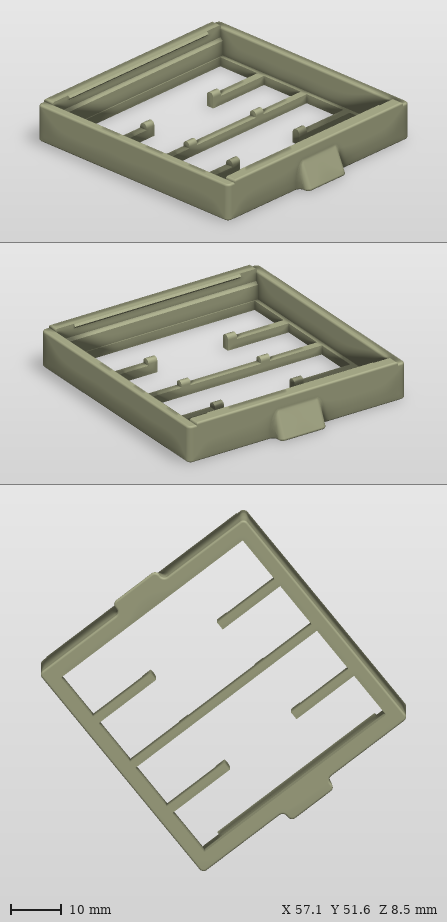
import cadquery as cq
import math

overall_x = 57.05
frame_x = 52.2
frame_y = 51.6
side_height = 8.5
rail_length = 47.85
end_height = 8.0
corner_radius = 1.0
edge_radius = 0.43

cavity_x = 47.3
cavity_y = 47.45
pocket_x = 46.1
window_size = 45.6
ledge_height = 5.2
shelf_height = 2.0

lip_length = 39.45
lip_top_reach = 0.2
lip_tip_reach = 0.6

finger_pitch = 11.75
finger_width = 1.75
bar_width = 1.65
finger_gap = 16.75
bump_length = 2.15
bump_top = 3.25

tab_height = 6.0
tab_width = 11.0
tab_radius = 1.0

wall_outer_x = frame_x / 2
wall_inner_x = cavity_x / 2
end_inner_y = cavity_y / 2


def centred_box(size_x, size_y, bottom, top):
    return cq.Workplane("XY").workplane(offset=bottom).rect(size_x, size_y).extrude(top - bottom)


def profile_along_y(points, length):
    """Extrude a closed X-Z outline along Y, centred on the X-Z plane."""
    start = cq.Workplane("XZ", origin=(0, length / 2, 0))
    return start.polyline(points).close().extrude(length)


def both_sides(shape):
    return shape.union(shape.mirror("YZ"))


def edge_at(x, y, z):
    return cq.selectors.NearestToPointSelector((x, y, z))


def sharp_tab_reach():
    """Reach of the tab's sharp toe, so that the rounded toe ends at the overall width."""
    centre_x = (overall_x - frame_x) / 2 - edge_radius
    drop = tab_height - edge_radius
    line_to_centre = math.atan2(drop, centre_x)
    slope_angle = line_to_centre - math.asin(edge_radius / math.hypot(centre_x, drop))
    return tab_height / math.tan(slope_angle)


def make_tab():
    """Wedge on the +X side wall with rounded flanks and a toe still sharp."""
    root = wall_outer_x - corner_radius
    toe = wall_outer_x + sharp_tab_reach()
    outline = [
        (root, 0),
        (toe, 0),
        (wall_outer_x, tab_height),
        (root, tab_height),
    ]
    tab = profile_along_y(outline, tab_width)
    slope_x = (toe + wall_outer_x) / 2
    flanks = [edge_at(slope_x, side * tab_width / 2, tab_height / 2) for side in (-1, 1)]
    return tab.edges(flanks[0] + flanks[1]).fillet(tab_radius)


def make_block():
    """Solid outer block with its tabs and rounded outer edges."""
    block = centred_box(frame_x, frame_y, 0, end_height).edges("|Z").fillet(corner_radius)
    block = both_sides(block.union(make_tab()))

    for wall_x in (-wall_outer_x, wall_outer_x):
        block = block.edges(edge_at(wall_x, 0, tab_height)).fillet(tab_radius)
    return block.faces(">Z or <Z").edges().fillet(edge_radius)


def make_rails():
    """Raised rails along both side walls, rounded on the outside and at the ends."""
    rail_width = wall_outer_x - wall_inner_x
    rail = (
        centred_box(rail_width, rail_length, ledge_height, side_height)
        .translate(((wall_outer_x + wall_inner_x) / 2, 0, 0))
        .edges(">Z and (>X or |X)")
        .fillet(edge_radius)
    )
    return both_sides(rail)


def make_lips():
    """Snap lips that lean inward from the top of each side wall."""
    top_x = wall_inner_x - lip_top_reach
    tip_x = wall_inner_x - lip_tip_reach
    tip_z = side_height - (top_x - tip_x)
    outline = [
        (wall_inner_x + edge_radius, side_height),
        (top_x, side_height),
        (tip_x, tip_z),
        (wall_inner_x, tip_z - lip_tip_reach),
        (wall_inner_x + edge_radius, tip_z - lip_tip_reach),
    ]
    return both_sides(profile_along_y(outline, lip_length))


def make_opening():
    """Everything removed from inside the frame: window, pocket and upper cavity."""
    window = centred_box(window_size, window_size, 0, side_height)
    pocket = centred_box(pocket_x, cavity_y, shelf_height, side_height)
    ledge_slope = (cavity_x - pocket_x) / 2
    ledge_top = ledge_height + ledge_slope
    outline = [
        (-pocket_x / 2, ledge_height),
        (pocket_x / 2, ledge_height),
        (wall_inner_x, ledge_top),
        (wall_inner_x, side_height),
        (-wall_inner_x, side_height),
        (-wall_inner_x, ledge_top),
    ]
    cavity = profile_along_y(outline, cavity_y)
    return window.union(pocket).union(cavity)


def make_end_rounding():
    """Material removed to round the inner top edges of both end walls."""
    cutter = (
        cq.Workplane("YZ", origin=(-wall_outer_x, 0, 0))
        .moveTo(end_inner_y, end_height)
        .lineTo(end_inner_y + edge_radius, end_height)
        .radiusArc((end_inner_y, end_height - edge_radius), -edge_radius)
        .close()
        .extrude(frame_x)
    )
    return cutter.union(cutter.mirror("XZ"))


def make_bar(centre_x, width, inner_y):
    """Bar from the +Y end wall, through the shelf, to inner_y."""
    bar = centred_box(width, end_inner_y - inner_y, 0, shelf_height)
    return bar.translate((centre_x, (end_inner_y + inner_y) / 2, 0))


def make_bump(centre_x, width):
    """Round-topped bump at the free end of a bar."""
    start = cq.Workplane("XZ", origin=(centre_x, finger_gap / 2 + bump_length, 0))
    radius = width / 2
    spring_z = bump_top - radius
    return (
        start.moveTo(-radius, 0)
        .lineTo(radius, 0)
        .lineTo(radius, spring_z)
        .threePointArc((0, bump_top), (-radius, spring_z))
        .close()
        .extrude(bump_length)
    )


def make_springs():
    """Two pairs of facing fingers and a full-length centre bar, each with two bumps."""
    half = make_bar(0, bar_width, 0).union(make_bump(0, bar_width))
    for finger_x in (-finger_pitch, finger_pitch):
        half = half.union(make_bar(finger_x, finger_width, finger_gap / 2))
        half = half.union(make_bump(finger_x, finger_width))
    return half.union(half.mirror("XZ"))


frame = make_block().cut(make_end_rounding()).union(make_rails()).cut(make_opening())
result = frame.union(make_lips()).union(make_springs())